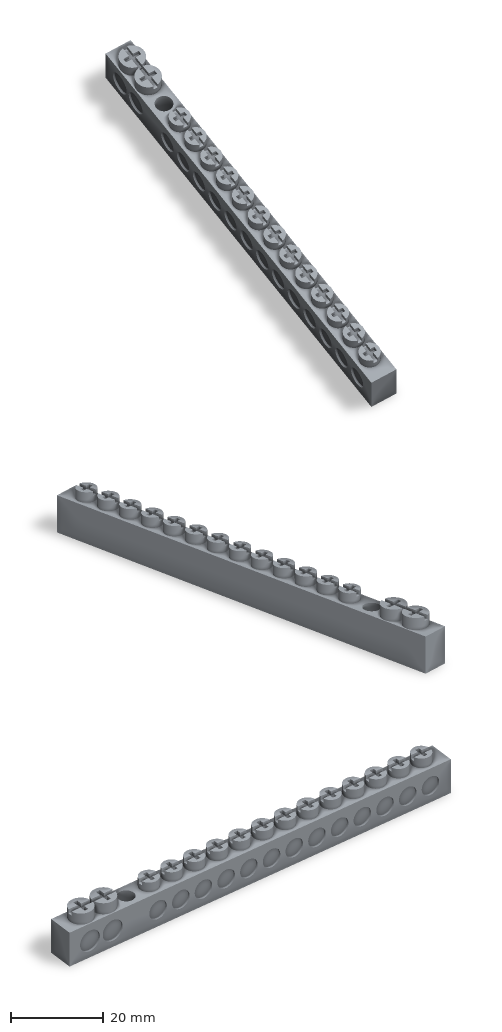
import cadquery as cq

bar_length = 105.0
bar_depth = 6.5
bar_height = 9.0

station_count = 16
station_span = 93.8
station_pitch = station_span / (station_count - 1)
first_station = (bar_length - station_span) / 2
stations = [first_station + i * station_pitch for i in range(station_count)]
large_stations = stations[:2]
mounting_station = stations[2]
small_stations = stations[3:]

large_screw_diameter = 6.0
large_screw_height = 2.9
large_arm_length = 4.0
small_screw_diameter = 4.8
small_screw_height = 2.5
small_arm_length = 3.0
slot_width = 1.0
slot_depth = 1.0

large_recess_diameter = 5.5
small_recess_diameter = small_screw_diameter
recess_depth = 0.5
recess_height = 4.4
mounting_hole_diameter = 4.1

middle_y = bar_depth / 2


def make_screw(x, diameter, height, arm_length):
    """Screw head on the bar: a slot right across in X, crossed by a shorter slot in Y."""
    top = cq.Workplane("XY", origin=(x, middle_y, bar_height + height))
    head = top.circle(diameter / 2).extrude(-height)
    long_slot = top.rect(diameter, slot_width).extrude(-slot_depth)
    cross_arm = top.rect(slot_width, arm_length).extrude(-slot_depth)
    return head.cut(long_slot).cut(cross_arm)


def make_recess(x, diameter):
    """Shallow round pocket cut into the front face."""
    front = cq.Workplane("XZ", origin=(x, 0, recess_height))
    return front.circle(diameter / 2).extrude(-recess_depth)


result = cq.Workplane("XY").box(bar_length, bar_depth, bar_height, centered=False)

mounting_hole = (
    cq.Workplane("XY", origin=(mounting_station, middle_y, 0))
    .circle(mounting_hole_diameter / 2)
    .extrude(bar_height)
)
result = result.cut(mounting_hole)

for x in large_stations:
    result = result.union(make_screw(x, large_screw_diameter, large_screw_height, large_arm_length))
    result = result.cut(make_recess(x, large_recess_diameter))

for x in small_stations:
    result = result.union(make_screw(x, small_screw_diameter, small_screw_height, small_arm_length))
    result = result.cut(make_recess(x, small_recess_diameter))